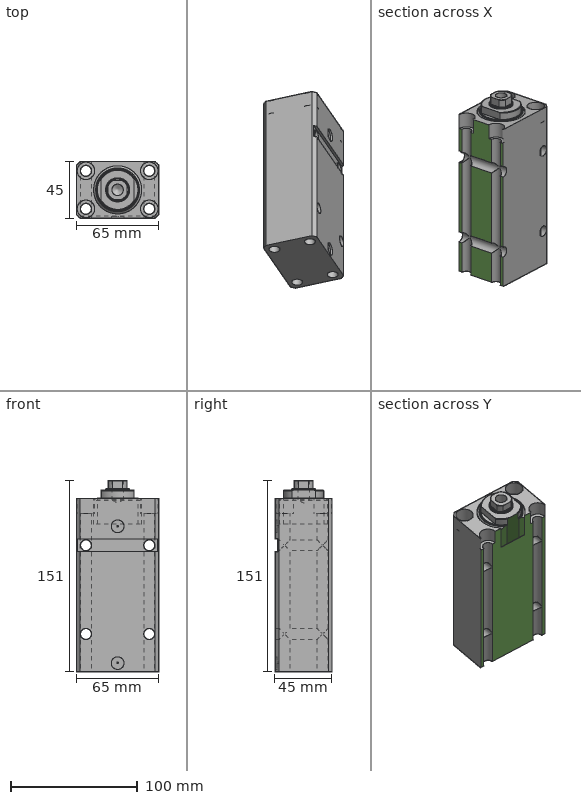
import cadquery as cq
import math

block_x = 65.0
block_y = 45.0
block_height = 137.0
corner_chamfer = 3.0
front_y = -block_y / 2

bolt_spacing_x = 50.0
bolt_spacing_y = 30.0
bolt_diameter = 8.5
counterbore_diameter = 13.8
counterbore_depth = 12.0
cross_hole_heights = (30.0, 100.0)

slot_height = 10.0
slot_depth = 2.0
slot_z = cross_hole_heights[1]

port_heights = (7.0, 115.0)
port_diameter = 10.0
port_depth = 1.5
port_drill_diameter = 1.2
port_drill_depth = 3.0
port_drill_heights = (7.4, 115.0)

gland_diameter = 38.0
gland_length = 20.0
gland_outer_chamfer = 1.7
gland_inner_chamfer = 0.5
gland_bottom_z = block_height - gland_length

rod_diameter = 32.0
rod_top_z = block_height + 14.0
shoulder_chamfer = 0.5
collar_diameter = 31.9
collar_bottom_z = block_height + 0.4
wrench_flats_width = 26.0
shoulder_z = block_height + 6.5
neck_diameter = 19.0
neck_chamfer = 0.5
neck_top_z = shoulder_z + 1.2
tip_diameter = 17.0
tip_square_width = 15.0
tip_square_bottom_z = neck_top_z + 0.1
tip_chamfer = 0.4

tip_hole_diameter = 9.0
tip_hole_depth = 15.0
drill_point_angle = 118.0


def cylinder(diameter, bottom_z, top_z):
    """Upright cylinder on the Z axis."""
    return cq.Workplane("XY").workplane(offset=bottom_z).circle(diameter / 2).extrude(top_z - bottom_z)


def front_hole(x, z, diameter, depth):
    """Cylinder that runs into the block from its front face."""
    start = cq.Workplane("XZ", origin=(x, front_y, z))
    return start.circle(diameter / 2).extrude(-depth)


def make_housing():
    block = cq.Workplane("XY").box(block_x, block_y, block_height, centered=(True, True, False))
    block = block.edges("|Z").chamfer(corner_chamfer)

    block = (
        block.faces(">Z").workplane()
        .rarray(bolt_spacing_x, bolt_spacing_y, 2, 2)
        .cboreHole(bolt_diameter, counterbore_diameter, counterbore_depth)
    )

    slot = cq.Workplane("XY").box(block_x, 2 * slot_depth, slot_height)
    block = block.cut(slot.translate((0, front_y, slot_z)))

    for z in cross_hole_heights:
        for x in (-bolt_spacing_x / 2, bolt_spacing_x / 2):
            block = block.cut(front_hole(x, z, bolt_diameter, block_y))

    for port_z, drill_z in zip(port_heights, port_drill_heights):
        block = block.cut(front_hole(0, port_z, port_diameter, port_depth))
        block = block.cut(front_hole(0, drill_z, port_drill_diameter, port_drill_depth))

    return block.cut(cylinder(gland_diameter, gland_bottom_z, block_height))


def make_gland():
    ring = cylinder(gland_diameter, gland_bottom_z, block_height)
    ring = ring.faces(">Z").chamfer(gland_outer_chamfer)
    ring = ring.cut(cylinder(rod_diameter, gland_bottom_z, block_height))
    inner_edge = cq.selectors.RadiusNthSelector(0)
    return ring.faces(">Z").edges(inner_edge).chamfer(gland_inner_chamfer)


def trim_sides(body, width_x, width_y, bottom_z, top_z):
    """Between two heights, cut away what lies outside a width_x by width_y rectangle."""
    height = top_z - bottom_z
    level = cq.Workplane("XY").workplane(offset=bottom_z)
    surround = level.rect(2 * rod_diameter, 2 * rod_diameter).rect(width_x, width_y).extrude(height)
    return body.cut(surround)


def make_rod():
    rod_radius = rod_diameter / 2
    collar_radius = collar_diameter / 2
    neck_radius = neck_diameter / 2
    tip_radius = tip_diameter / 2
    hole_radius = tip_hole_diameter / 2
    hole_bottom_z = rod_top_z - tip_hole_depth
    hole_point_z = hole_bottom_z - hole_radius / math.tan(math.radians(drill_point_angle / 2))
    half_profile = [
        (0, gland_bottom_z),
        (rod_radius, gland_bottom_z),
        (rod_radius, collar_bottom_z),
        (collar_radius, collar_bottom_z),
        (collar_radius, shoulder_z - shoulder_chamfer),
        (collar_radius - shoulder_chamfer, shoulder_z),
        (neck_radius, shoulder_z),
        (neck_radius, neck_top_z - neck_chamfer),
        (neck_radius - neck_chamfer, neck_top_z),
        (tip_radius, neck_top_z),
        (tip_radius, rod_top_z - tip_chamfer),
        (tip_radius - tip_chamfer, rod_top_z),
        (hole_radius, rod_top_z),
        (hole_radius, hole_bottom_z),
        (0, hole_point_z),
    ]
    rod = cq.Workplane("XZ").polyline(half_profile).close().revolve(360, (0, 0, 0), (0, 1, 0))

    rod = trim_sides(rod, wrench_flats_width, rod_diameter, collar_bottom_z, shoulder_z)

    return trim_sides(rod, tip_square_width, tip_square_width, tip_square_bottom_z, rod_top_z)


housing = make_housing()
gland = make_gland()
rod = make_rod()

result = cq.Compound.makeCompound([housing.val(), gland.val(), rod.val()])